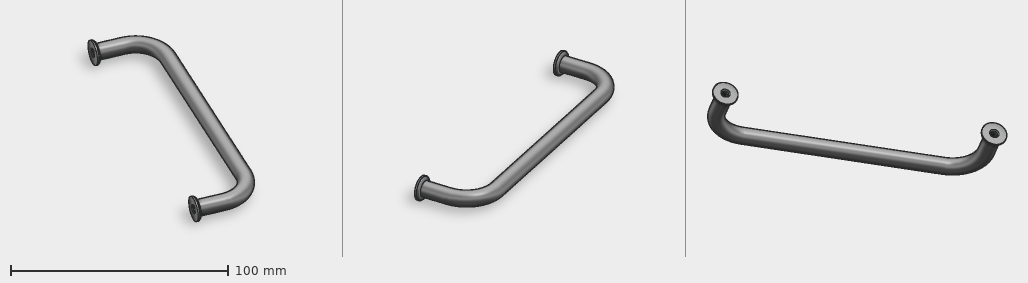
import cadquery as cq
import math

overall_length = 140.0
overall_height = 35.0
washer_diameter = 12.0
washer_thickness = 2.0
washer_rim_height = 1.0
washer_ledge_width = 0.3
rod_diameter = 8.0
bend_radius = 16.0
screw_hole_diameter = 3.4
countersink_diameter = 4.5
screw_hole_depth = 9.8
drill_tip_angle = 120.0

leg_x = (overall_length - washer_diameter) / 2
base_y = -overall_height / 2
leg_start_y = base_y + washer_thickness
grip_y = overall_height / 2 - rod_diameter / 2
bend_start_y = grip_y - bend_radius
grip_end_x = leg_x - bend_radius
bend_mid_offset = bend_radius * math.sin(math.radians(45))


def make_screw_hole(x):
    """Blind hole up a leg, ending in a conical drill tip."""
    radius = screw_hole_diameter / 2
    tip_height = radius / math.tan(math.radians(drill_tip_angle / 2))
    half_profile = (
        cq.Workplane("XY", origin=(x, leg_start_y, 0))
        .lineTo(radius, 0)
        .lineTo(radius, screw_hole_depth)
        .lineTo(0, screw_hole_depth + tip_height)
        .close()
    )
    return half_profile.revolve(360, (0, 0, 0), (0, 1, 0))


def make_handle():
    """Round rod bent into a U, with a screw hole in the end of each leg."""
    centreline = (
        cq.Workplane("XY")
        .moveTo(-leg_x, leg_start_y)
        .lineTo(-leg_x, bend_start_y)
        .threePointArc((-grip_end_x - bend_mid_offset, bend_start_y + bend_mid_offset), (-grip_end_x, grip_y))
        .lineTo(grip_end_x, grip_y)
        .threePointArc((grip_end_x + bend_mid_offset, bend_start_y + bend_mid_offset), (leg_x, bend_start_y))
        .lineTo(leg_x, leg_start_y)
    )
    leg_end = cq.Plane(origin=(-leg_x, leg_start_y, 0), xDir=(1, 0, 0), normal=(0, 1, 0))
    rod = cq.Workplane(leg_end).circle(rod_diameter / 2).sweep(centreline)
    for x in (-leg_x, leg_x):
        rod = rod.cut(make_screw_hole(x))
    return rod


def make_washer(x):
    """Foot washer: a plain rim, a narrow ledge and a rounded shoulder, with a countersunk screw hole."""
    bore_radius = screw_hole_diameter / 2
    countersink_radius = countersink_diameter / 2
    countersink_depth = countersink_radius - bore_radius
    rim_radius = washer_diameter / 2
    shoulder_start = rim_radius - washer_ledge_width
    shoulder_radius = washer_thickness - washer_rim_height
    shoulder_end = shoulder_start - shoulder_radius
    mid_offset = shoulder_radius * math.sin(math.radians(45))
    half_profile = (
        cq.Workplane("XY", origin=(x, base_y, 0))
        .moveTo(countersink_radius, 0)
        .lineTo(rim_radius, 0)
        .lineTo(rim_radius, washer_rim_height)
        .lineTo(shoulder_start, washer_rim_height)
        .threePointArc(
            (shoulder_end + mid_offset, washer_rim_height + mid_offset),
            (shoulder_end, washer_thickness),
        )
        .lineTo(bore_radius, washer_thickness)
        .lineTo(bore_radius, countersink_depth)
        .close()
    )
    return half_profile.revolve(360, (0, 0, 0), (0, 1, 0))


handle = make_handle()
washers = [make_washer(x) for x in (-leg_x, leg_x)]

result = cq.Compound.makeCompound([handle.val(), *[washer.val() for washer in washers]])